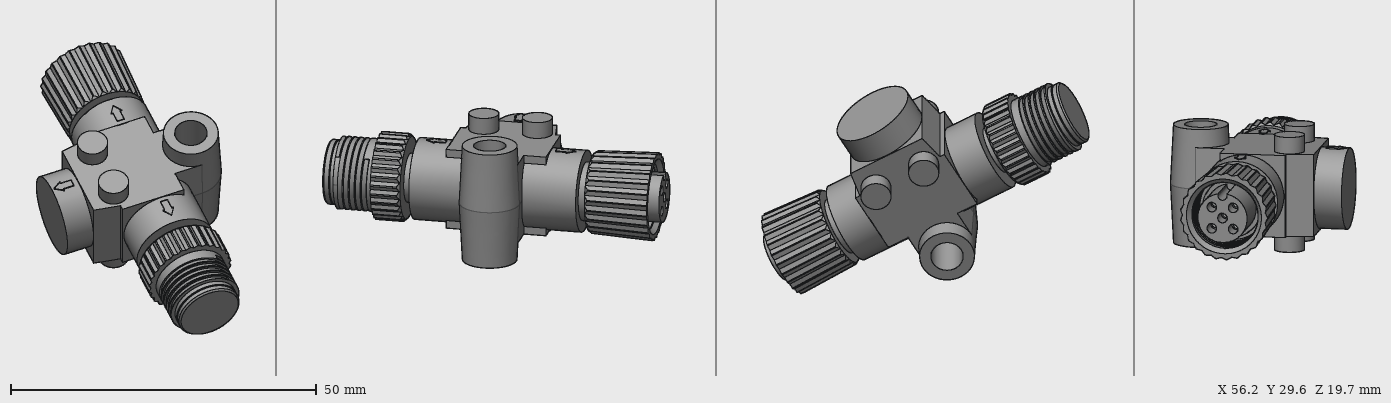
import cadquery as cq
import math


overall_length = 56.2

barrel_radius = 6.75
barrel_half_length = 14.0
block_half_height = 6.85
block_half_width = 8.4
block_back = 3.9
shoulder_y = -6.95
taper_top_half_width = 7.55
taper_end_half_width = 6.75
taper_end_y = -11.4
branch_radius = 6.7
branch_end = -16.0

peg_radius = 2.5
peg_spacing = 9.0
peg_half_height = 9.6

lug_y = 8.6
lug_mid_radius = 5.0
lug_end_radius = 4.5
lug_height = 19.7
lug_half_height = lug_height / 2
lug_hole_radius = 2.65

arrow_tail = 9.2
arrow_neck = 11.05
arrow_tip = 12.55
arrow_half_shaft = 0.6
arrow_half_head = 0.95
branch_arrow_shift = 3.15
arrow_root_depth = 0.55

insert_tip = -27.35
insert_radius = 4.1
female_neck_radius = 4.85
key_radius = 0.75
key_center = 3.7
socket_radius = 0.8
socket_pitch = 3.55
socket_depth = 3.4
socket_point_radius = 0.55
socket_point_depth = 0.35

nut_front = -25.95
nut_back = -15.4
nut_front_radius = 7.25
nut_back_radius = 6.8
nut_teeth = 25
nut_crest_width = 0.15
nut_first_crest = 180.0
nut_chamfer_length = 0.45
nut_chamfer_depth = 0.3
bore_mouth_radius = 6.25
bore_radius = 5.5
bore_mouth_length = 0.85
bore_end = -17.65
female_collar_start = -19.1

male_neck_radius = 4.05
ring_start = 15.45
ring_end = 20.4
ring_radius = 7.25
ring_teeth = 30
ring_crest_width = 0.255
ring_first_crest = 90.0
ring_chamfer_length = 0.5
ring_chamfer_depth = 0.45
knurl_depth = 0.35
thread_end = 26.85
tip_radius = 5.35
tip_end = insert_tip + overall_length
tip_chamfer = 0.3
tip_groove_start = 27.6
tip_groove_width = 0.15
tip_groove_depth = 0.1

thread_radius = 6.0
thread_pitch = 1.0
thread_depth = 0.35
thread_groove_width = 0.8
male_thread_start = 21.2
male_thread_turns = 5
male_thread_angle = 135.0
female_thread_start = -25.0
female_thread_turns = 6
female_thread_angle = 0.0
groove_overshoot = 0.15


def along_x(solid):
    """Turn a solid built along +Z so that it lies along +X, with its own X pointing to -Z."""
    return solid.rotate((0, 0, 0), (0, 1, 0), 90)


def rod(start, end, radius):
    """Round bar on the main axis between two X positions."""
    return cq.Workplane("YZ", origin=(start, 0, 0)).circle(radius).extrude(end - start)


def turned(profile):
    """Solid of revolution about X from (x, radius) points."""
    return cq.Workplane("XY").polyline(profile).close().revolve(360, (0, 0, 0), (1, 0, 0))


def knurl_points(crest_radius, teeth, crest_width, first_crest):
    """Outline of a V-grooved knurl with flat crests, the first at an angle from +Y."""
    half_crest = crest_width / 2 / crest_radius
    pitch = 2 * math.pi / teeth
    points = []
    for tooth in range(teeth):
        crest = math.radians(first_crest) + tooth * pitch
        corners = (
            (crest_radius, crest - half_crest),
            (crest_radius, crest + half_crest),
            (crest_radius - knurl_depth, crest + pitch / 2),
        )
        points += [(radius * math.cos(angle), radius * math.sin(angle)) for radius, angle in corners]
    return points


def thread_groove(start, turns, surface_radius, depth, start_angle):
    """Left-handed sawtooth groove; a positive depth cuts inward and a negative one outward.

    The start angle turns from -Z towards +Y.
    """
    mouth = surface_radius + groove_overshoot * depth
    helix = cq.Wire.makeHelix(thread_pitch, turns * thread_pitch, surface_radius, lefthand=True)
    groove = (
        cq.Workplane("XZ")
        .polyline([
            (mouth, 0),
            (surface_radius - depth, 0),
            (mouth, thread_groove_width * (1 + groove_overshoot)),
        ])
        .close()
        .sweep(cq.Workplane(helix), isFrenet=True)
    )
    return along_x(groove).rotate((0, 0, 0), (1, 0, 0), start_angle).translate((start, 0, 0))


def make_body():
    half_outline = [
        (block_half_width, block_back),
        (block_half_width, shoulder_y),
        (taper_top_half_width, shoulder_y),
        (taper_end_half_width, taper_end_y),
    ]
    mirrored = [(-x, y) for x, y in reversed(half_outline)]
    block = (
        cq.Workplane("XY", origin=(0, 0, -block_half_height))
        .polyline(half_outline + mirrored)
        .close()
        .extrude(2 * block_half_height)
    )
    branch = cq.Workplane("XZ").circle(branch_radius).extrude(-branch_end)
    pegs = (
        cq.Workplane("XY", origin=(0, shoulder_y, -peg_half_height))
        .rarray(peg_spacing, 0.55, 2, 1)
        .circle(peg_radius)
        .extrude(2 * peg_half_height)
    )
    return rod(-barrel_half_length, barrel_half_length, barrel_radius).union(block).union(branch).union(pegs)


def make_lug():
    boss = (
        cq.Workplane("XZ")
        .polyline([
            (0, -lug_half_height),
            (lug_end_radius, -lug_half_height),
            (lug_mid_radius, 0),
            (lug_end_radius, lug_half_height),
            (0, lug_half_height),
        ])
        .close()
        .revolve(360, (0, 0, 0), (0, 1, 0))
        .translate((0, lug_y, 0))
    )
    draft = (lug_mid_radius - lug_end_radius) / lug_half_height
    web_end_half_width = lug_mid_radius - draft * block_half_height
    web = (
        cq.Workplane("XZ")
        .polyline([
            (-web_end_half_width, -block_half_height),
            (web_end_half_width, -block_half_height),
            (lug_mid_radius, 0),
            (web_end_half_width, block_half_height),
            (-web_end_half_width, block_half_height),
            (-lug_mid_radius, 0),
        ])
        .close()
        .extrude(-lug_y)
    )
    return boss.union(web)


def make_arrows():
    outline = [
        (arrow_tail, arrow_half_shaft),
        (arrow_neck, arrow_half_shaft),
        (arrow_neck, arrow_half_head),
        (arrow_tip, 0),
        (arrow_neck, -arrow_half_head),
        (arrow_neck, -arrow_half_shaft),
        (arrow_tail, -arrow_half_shaft),
    ]
    root = barrel_radius - arrow_root_depth
    right = (
        cq.Workplane("XY", origin=(0, 0, root)).polyline(outline).close().extrude(block_half_height - root)
    )
    left = right.mirror("YZ")
    branch = right.rotate((0, 0, 0), (0, 0, 1), -90).translate((0, -branch_arrow_shift, 0))
    return right.union(left).union(branch)


def make_insert():
    insert = rod(insert_tip, bore_end, insert_radius)
    key_opening = (
        cq.Workplane("YZ", origin=(insert_tip, 0, key_center + key_radius))
        .rect(2 * key_radius, 2 * key_radius)
        .extrude(bore_end - insert_tip)
    )
    keyway = rod(insert_tip, bore_end, key_radius).translate((0, 0, key_center)).union(key_opening)
    point = insert_tip + socket_depth
    socket = turned([
        (insert_tip, 0),
        (insert_tip, socket_radius),
        (point, socket_radius),
        (point, socket_point_radius),
        (point + socket_point_depth, 0),
    ])
    insert = insert.cut(keyway).cut(socket)
    for side_y in (-1, 1):
        for side_z in (-1, 1):
            insert = insert.cut(socket.translate((0, side_y * socket_pitch / 2, side_z * socket_pitch / 2)))
    return insert


def make_female_nut():
    length = nut_back - nut_front
    nut = (
        cq.Workplane("YZ", origin=(nut_front, 0, 0))
        .polyline(knurl_points(nut_front_radius, nut_teeth, nut_crest_width, nut_first_crest))
        .close()
        .workplane(offset=length)
        .polyline(knurl_points(nut_back_radius, nut_teeth, nut_crest_width, nut_first_crest))
        .close()
        .loft(ruled=True)
    )
    envelope = turned([
        (nut_front, 0),
        (nut_front, nut_front_radius),
        (nut_back - nut_chamfer_length, nut_front_radius),
        (nut_back - nut_chamfer_length, nut_back_radius),
        (nut_back, nut_back_radius - nut_chamfer_depth),
        (nut_back, 0),
    ])
    bore = turned([
        (nut_front, 0),
        (nut_front, bore_mouth_radius),
        (nut_front + bore_mouth_length, bore_radius),
        (bore_end, bore_radius),
        (bore_end, 0),
    ])
    thread = thread_groove(
        female_thread_start, female_thread_turns, bore_radius, -thread_depth, female_thread_angle
    )
    return nut.intersect(envelope).cut(bore).cut(thread)


def make_male_end():
    neck = rod(barrel_half_length, ring_start, male_neck_radius)
    ring = (
        cq.Workplane("YZ", origin=(ring_start, 0, 0))
        .polyline(knurl_points(ring_radius, ring_teeth, ring_crest_width, ring_first_crest))
        .close()
        .extrude(ring_end - ring_start)
    )
    envelope = turned([
        (ring_start, 0),
        (ring_start, ring_radius - ring_chamfer_depth),
        (ring_start + ring_chamfer_length, ring_radius),
        (ring_end, ring_radius),
        (ring_end, 0),
    ])
    groove_end = tip_groove_start + tip_groove_width
    plug = turned([
        (ring_end, 0),
        (ring_end, thread_radius),
        (thread_end, thread_radius),
        (thread_end, tip_radius),
        (tip_groove_start, tip_radius),
        (tip_groove_start, tip_radius - tip_groove_depth),
        (groove_end, tip_radius - tip_groove_depth),
        (groove_end, tip_radius),
        (tip_end - tip_chamfer, tip_radius),
        (tip_end, tip_radius - tip_chamfer),
        (tip_end, 0),
    ])
    thread = thread_groove(
        male_thread_start, male_thread_turns, thread_radius, thread_depth, male_thread_angle
    )
    return neck.union(ring.intersect(envelope)).union(plug.cut(thread))


female_neck = rod(female_collar_start, -barrel_half_length, female_neck_radius)
lug_hole = (
    cq.Workplane("XY", origin=(0, lug_y, -lug_half_height))
    .circle(lug_hole_radius)
    .extrude(lug_height)
)

result = (
    make_body()
    .union(make_lug())
    .cut(lug_hole)
    .union(make_arrows())
    .union(female_neck)
    .union(make_insert())
    .union(make_female_nut())
    .union(make_male_end())
)